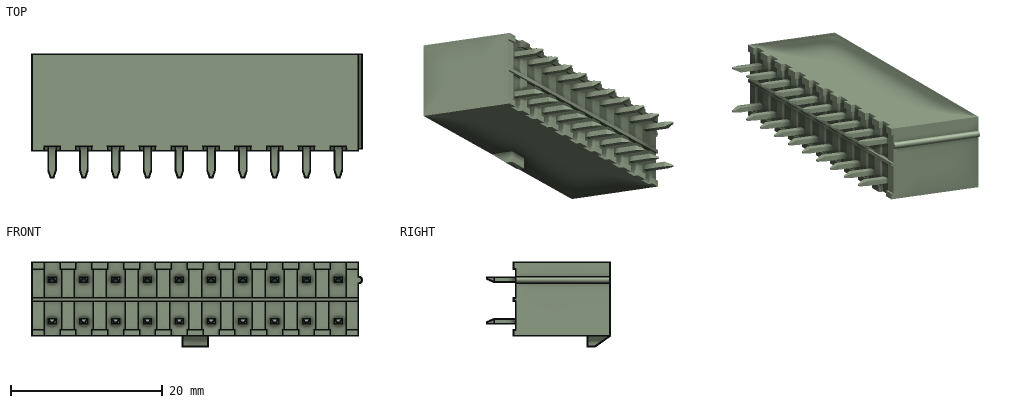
import cadquery as cq

HOUSING_LENGTH = 43.1
HOUSING_DEPTH = 12.77
HOUSING_HEIGHT = 9.72

CONTACT_COUNT = 10
ROW_SPAN = 37.8
PITCH = ROW_SPAN / (CONTACT_COUNT - 1)
UPPER_ROW_Z = 7.4
LOWER_ROW_Z = 1.9

PIN_WIDTH = 1.05
PIN_THICKNESS = 0.65
PIN_REACH = 3.55
PIN_ROOT = 0.45
PIN_TAPER = 0.95
TIP_WIDTH = 0.4
TIP_THICKNESS = 0.2

STEP_DEPTH = 0.285
CHANNEL_DEPTH = 0.6
TOP_LIP = 0.9
BOTTOM_LIP = 0.8
RAIL_HEIGHT = 0.45
RAIL_Z = 4.8
LIP_NOTCH_WIDTH = PITCH / 2
RIB_WIDTH = 1.7
CHANNEL_WIDTH = PITCH - RIB_WIDTH

LATCH_WIDTH = 3.4
LATCH_LENGTH = 3.0
LATCH_FLAT = 0.95
LATCH_HEIGHT = 1.45

BEAD_REACH = 0.5
BEAD_RADIUS = 0.45
BEAD_Z = 7.35

PIN_XS = [(i - (CONTACT_COUNT - 1) / 2) * PITCH for i in range(CONTACT_COUNT)]


def box(x0, x1, y0, y1, z0, z1):
    """Axis-aligned block between two opposite corners."""
    return cq.Workplane("XY").box(x1 - x0, y1 - y0, z1 - z0, centered=False).translate((x0, y0, z0))


def housing():
    """Solid block with its pin face on the XZ plane and its bottom at Z = 0."""
    half = HOUSING_LENGTH / 2
    return box(-half, half, 0, HOUSING_DEPTH, 0, HOUSING_HEIGHT)


def face_relief():
    """Material removed from the pin face: shallow steps and one channel per column, less the rail."""
    half = HOUSING_LENGTH / 2
    lip_bottom = HOUSING_HEIGHT - TOP_LIP
    notch = LIP_NOTCH_WIDTH / 2
    outer = PIN_XS[-1] + notch
    relief = box(-half, half, 0, STEP_DEPTH, BOTTOM_LIP, lip_bottom)
    for x in PIN_XS:
        relief = relief.union(box(x - notch, x + notch, 0, CHANNEL_DEPTH, 0, HOUSING_HEIGHT))
        left = max(x - CHANNEL_WIDTH / 2, -outer)
        right = min(x + CHANNEL_WIDTH / 2, outer)
        relief = relief.union(box(left, right, 0, CHANNEL_DEPTH, BOTTOM_LIP, lip_bottom))
    rail = box(-half, half, 0, CHANNEL_DEPTH, RAIL_Z - RAIL_HEIGHT / 2, RAIL_Z + RAIL_HEIGHT / 2)
    return relief.cut(rail)


def pin(x, z, flat_side):
    """Rectangular pin pointing to -Y; flat_side is +1 or -1 for an untapered top or bottom."""
    start_y = CHANNEL_DEPTH + PIN_ROOT
    shoulder_y = PIN_TAPER - PIN_REACH
    flat_z = z + flat_side * PIN_THICKNESS / 2
    side_profile = [
        (start_y, flat_z),
        (-PIN_REACH, flat_z),
        (-PIN_REACH, flat_z - flat_side * TIP_THICKNESS),
        (shoulder_y, flat_z - flat_side * PIN_THICKNESS),
        (start_y, flat_z - flat_side * PIN_THICKNESS),
    ]
    plan_profile = [
        (x - PIN_WIDTH / 2, start_y),
        (x - PIN_WIDTH / 2, shoulder_y),
        (x - TIP_WIDTH / 2, -PIN_REACH),
        (x + TIP_WIDTH / 2, -PIN_REACH),
        (x + PIN_WIDTH / 2, shoulder_y),
        (x + PIN_WIDTH / 2, start_y),
    ]
    pin_left = cq.Workplane("YZ", origin=(x - PIN_WIDTH / 2, 0, 0))
    side = pin_left.polyline(side_profile).close().extrude(PIN_WIDTH)
    plan = cq.Workplane("XY").polyline(plan_profile).close().extrude(HOUSING_HEIGHT)
    return side.intersect(plan)


def latch():
    """Ramp below the housing, dropping from the rear edge to a flat that ends in a square catch."""
    profile = [
        (HOUSING_DEPTH, 0),
        (HOUSING_DEPTH - LATCH_LENGTH + LATCH_FLAT, -LATCH_HEIGHT),
        (HOUSING_DEPTH - LATCH_LENGTH, -LATCH_HEIGHT),
        (HOUSING_DEPTH - LATCH_LENGTH, 0),
    ]
    latch_left = cq.Workplane("YZ", origin=(-LATCH_WIDTH / 2, 0, 0))
    return latch_left.polyline(profile).close().extrude(LATCH_WIDTH)


def bead():
    """Round bead proud of the +X end face, running from the stepped pin face to the rear."""
    centre_x = HOUSING_LENGTH / 2 + BEAD_REACH - BEAD_RADIUS
    length = HOUSING_DEPTH - STEP_DEPTH
    return (
        cq.Workplane("XZ", origin=(0, HOUSING_DEPTH, 0))
        .center(centre_x, BEAD_Z)
        .circle(BEAD_RADIUS)
        .extrude(length)
    )


result = housing().cut(face_relief()).union(latch()).union(bead())
for pin_x in PIN_XS:
    result = result.union(pin(pin_x, UPPER_ROW_Z, 1))
    result = result.union(pin(pin_x, LOWER_ROW_Z, -1))